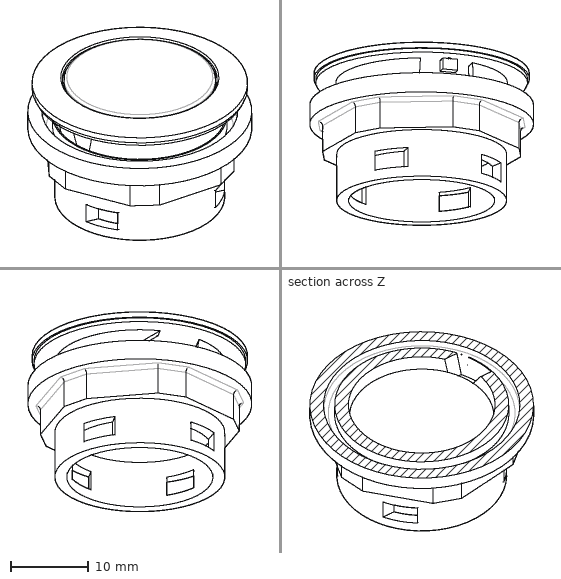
import cadquery as cq
import math

HEIGHT = 18.05
HEX_BOTTOM = 6.3
FLANGE_BOTTOM = 10.32
FLANGE_TOP = 12.93
COLLAR_TOP = 12.3
LID_BOTTOM = 15.95
RIM_BOTTOM = 16.47
RIM_TOP = 17.23

BARREL_DIAMETER = 22.0
BORE_DIAMETER = 18.9
COLLAR_DIAMETER = 22.6
NECK_DIAMETER = 22.2

DRUM_DIAMETER = 18.7
DRUM_BOTTOM = HEX_BOTTOM
DRUM_TOP = 10.1
DRUM_GAP_BOTTOM = 8.7

FLANGE_DIAMETER = 29.0
RECESS_DIAMETER = 25.35
RECESS_DEPTH = 2.32
RECESS_FILLET = 0.58
HEX_VERTEX_RADIUS = 12.88
HEX_SIDES = 6
HEX_CORNER_SPAN = 17.1
HEX_TURN = 30.5
HEX_FILLET = 0.55
SELECTION_MARGIN = 0.03

SKIRT_DIAMETER = 27.4
RIM_DIAMETER = 27.9
DOME_TOP_DIAMETER = 20.47
DOME_TOP = 17.98
DOME_BULGE = 0.05
GROOVE_OUTER_DIAMETER = 20.05
GROOVE_DEPTH = 0.35
DISC_DIAMETER = 19.6
DISC_ROUNDING = 0.35

WINDOW_BOTTOM = 1.35
WINDOW_HEIGHT = 2.55
WINDOW_NEAR_X = 5.0
WINDOW_FAR_X = 8.55
WINDOW_FAR_Y = 6.93
FRONT_WINDOW_INNER_X = 8.18
REAR_WINDOW_INNER_X = 7.85
WINDOW_INNER_Y = 4.78

FRONT_OPENING_FLOOR = DRUM_GAP_BOTTOM
FRONT_OPENING_FLOOR_X = 2.35
FRONT_OPENING_SIDE_X = 4.95
FRONT_OPENING_TOP_LEFT_X = 0.72
FRONT_OPENING_TOP_RIGHT_X = 6.15
FRONT_OPENING_POINT_X = -1.5
FRONT_OPENING_POINT_Z = 14.38
FRONT_OPENING_CORNERS = [
    (FRONT_OPENING_TOP_LEFT_X, LID_BOTTOM),
    (FRONT_OPENING_POINT_X, FRONT_OPENING_POINT_Z),
    (FRONT_OPENING_FLOOR_X, FRONT_OPENING_FLOOR),
    (FRONT_OPENING_SIDE_X, FRONT_OPENING_FLOOR),
    (FRONT_OPENING_TOP_RIGHT_X, LID_BOTTOM),
]

REAR_OPENING_TOP_WIDTH = 7.08
REAR_OPENING_BOTTOM_WIDTH = 7.48
REAR_OPENING_CORNERS = [
    (-REAR_OPENING_BOTTOM_WIDTH / 2, COLLAR_TOP),
    (REAR_OPENING_BOTTOM_WIDTH / 2, COLLAR_TOP),
    (REAR_OPENING_TOP_WIDTH / 2, LID_BOTTOM),
    (-REAR_OPENING_TOP_WIDTH / 2, LID_BOTTOM),
]

TAB_WIDTH = 2.03
TAB_INNER_Y = 11.02
TAB_DEPTH = 1.1
TAB_BOTTOM = 14.25
TAB_TOP = 15.72
STEM_SIZE = 0.3


def disc(diameter, bottom, top):
    """Solid cylinder on the Z axis between two heights."""
    return cq.Workplane("XY").workplane(offset=bottom).circle(diameter / 2).extrude(top - bottom)


def make_nut():
    """Flange and corner-trimmed hexagon, blended by a fillet, with a recess on top."""
    vertices = []
    for side in range(HEX_SIDES):
        for offset in (0, HEX_CORNER_SPAN):
            angle = math.radians(360 / HEX_SIDES * side + HEX_TURN + offset)
            vertices.append((HEX_VERTEX_RADIUS * math.cos(angle), HEX_VERTEX_RADIUS * math.sin(angle)))
    hexagon = (
        cq.Workplane("XY")
        .workplane(offset=HEX_BOTTOM)
        .polyline(vertices)
        .close()
        .extrude(FLANGE_BOTTOM - HEX_BOTTOM)
    )
    nut = hexagon.union(disc(FLANGE_DIAMETER, FLANGE_BOTTOM, FLANGE_TOP))
    blend_zone = cq.selectors.BoxSelector(
        (-HEX_VERTEX_RADIUS, -HEX_VERTEX_RADIUS, FLANGE_BOTTOM - SELECTION_MARGIN),
        (HEX_VERTEX_RADIUS, HEX_VERTEX_RADIUS, FLANGE_BOTTOM + SELECTION_MARGIN),
    )
    nut = nut.edges(blend_zone).edges("%LINE").fillet(HEX_FILLET)
    recess = disc(RECESS_DIAMETER, FLANGE_TOP - RECESS_DEPTH, FLANGE_TOP)
    return nut.cut(recess.faces("<Z").edges().fillet(RECESS_FILLET))


def make_lid():
    """Revolved lid with a domed ring, a groove and a round-edged disc in the middle."""
    rim_radius = RIM_DIAMETER / 2
    dome_radius = DOME_TOP_DIAMETER / 2
    groove_radius = GROOVE_OUTER_DIAMETER / 2
    disc_radius = DISC_DIAMETER / 2
    groove_floor = HEIGHT - DISC_ROUNDING - GROOVE_DEPTH
    lip_drop = dome_radius - groove_radius
    dome_middle = ((rim_radius + dome_radius) / 2, (RIM_TOP + DOME_TOP) / 2 + DOME_BULGE)
    arc_reach = DISC_ROUNDING * (1 - math.sqrt(0.5))
    return (
        cq.Workplane("XZ")
        .moveTo(0, LID_BOTTOM)
        .lineTo(SKIRT_DIAMETER / 2, LID_BOTTOM)
        .lineTo(SKIRT_DIAMETER / 2, RIM_BOTTOM)
        .lineTo(rim_radius, RIM_BOTTOM)
        .lineTo(rim_radius, RIM_TOP)
        .threePointArc(dome_middle, (dome_radius, DOME_TOP))
        .lineTo(groove_radius, DOME_TOP - lip_drop)
        .lineTo(groove_radius, groove_floor)
        .lineTo(disc_radius, groove_floor)
        .lineTo(disc_radius, HEIGHT - DISC_ROUNDING)
        .threePointArc(
            (disc_radius - arc_reach, HEIGHT - arc_reach),
            (disc_radius - DISC_ROUNDING, HEIGHT),
        )
        .lineTo(0, HEIGHT)
        .close()
        .revolve(360, (0, 0, 0), (0, 1, 0))
    )


def make_window(side_x, side_y, inner_x):
    """Cutter for one barrel window in the quadrant given by the two signs."""
    reach = BARREL_DIAMETER / 2
    slope = (WINDOW_FAR_X - inner_x) / (WINDOW_FAR_Y - WINDOW_INNER_Y)
    outer_x = WINDOW_FAR_X + slope * (reach - WINDOW_FAR_Y)
    outline = [
        (WINDOW_NEAR_X, WINDOW_INNER_Y),
        (inner_x, WINDOW_INNER_Y),
        (outer_x, reach),
        (WINDOW_NEAR_X, reach),
    ]
    return (
        cq.Workplane("XY")
        .workplane(offset=WINDOW_BOTTOM)
        .polyline([(side_x * x, side_y * y) for x, y in outline])
        .close()
        .extrude(WINDOW_HEIGHT)
    )


def space_around_drum(diameter):
    """Cylinder from the gap bottom up to the lid, less the upper end of the drum."""
    space = disc(diameter, DRUM_GAP_BOTTOM, LID_BOTTOM)
    return space.cut(disc(DRUM_DIAMETER, DRUM_GAP_BOTTOM, DRUM_TOP))


def make_neck_opening(corners, side_y):
    """Cutter running straight through the front (-1) or rear (1) wall of the neck."""
    prism = cq.Workplane("XZ").polyline(corners).close().extrude(-side_y * NECK_DIAMETER / 2)
    return prism.intersect(space_around_drum(NECK_DIAMETER))


def make_tab():
    """Locating tab, hung from the lid by a slim stem."""
    middle_y = TAB_INNER_Y + TAB_DEPTH / 2
    tab = (
        cq.Workplane("XY", origin=(0, middle_y, TAB_BOTTOM))
        .rect(TAB_WIDTH, TAB_DEPTH)
        .extrude(TAB_TOP - TAB_BOTTOM)
    )
    stem = (
        cq.Workplane("XY", origin=(0, middle_y, TAB_TOP))
        .rect(STEM_SIZE, STEM_SIZE)
        .extrude(LID_BOTTOM - TAB_TOP)
    )
    return tab.union(stem)


result = make_nut()
result = result.union(disc(BARREL_DIAMETER, 0, FLANGE_BOTTOM))
result = result.union(disc(COLLAR_DIAMETER, FLANGE_BOTTOM, COLLAR_TOP))
result = result.union(disc(NECK_DIAMETER, COLLAR_TOP, LID_BOTTOM))
result = result.cut(disc(BORE_DIAMETER, 0, DRUM_BOTTOM))
result = result.cut(space_around_drum(BORE_DIAMETER))

for side_x in (-1, 1):
    result = result.cut(make_window(side_x, -1, FRONT_WINDOW_INNER_X))
    result = result.cut(make_window(side_x, 1, REAR_WINDOW_INNER_X))
result = result.cut(make_neck_opening(FRONT_OPENING_CORNERS, -1))
result = result.cut(make_neck_opening(REAR_OPENING_CORNERS, 1))

result = result.union(make_lid())
result = result.union(make_tab())